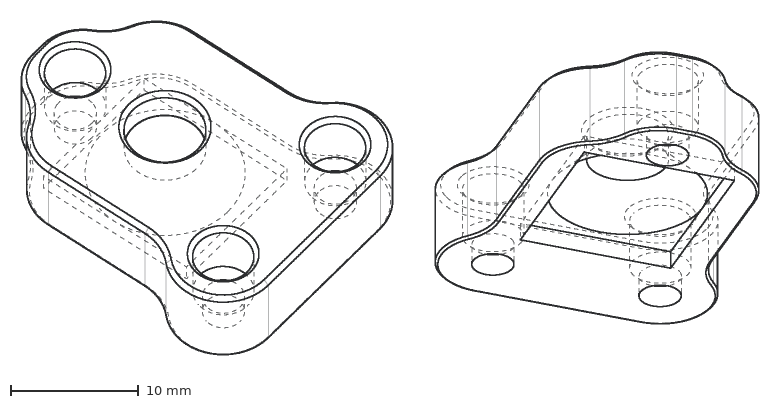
import cadquery as cq
import math

length = 28.75
width = 22.97
thickness = 7.25
body_half_width = 9.0
top_chamfer = 0.4
bottom_chamfer = 0.2

lobe_radius = 4.5
nose_radius = 4.0
nose_flat_half = 0.65
lobe_x = length - lobe_radius
lobe_y = width / 2 - lobe_radius
shoulder_x = 8.28
shoulder_y = body_half_width - lobe_radius

screw_x = 3.75
bore_diameter = 4.8
screw_diameter = 3.3
cone_top_z = 2.6
cone_height = (bore_diameter - screw_diameter) / 2

center_x = 12.76
center_diameter = 6.4
pocket_half_width = 6.27
pocket_half_length = 7.2
pocket_depth = 1.5
flare_top_z = 4.6


def blend_center(first, first_reach, second, second_reach):
    """Point at the given distances from two centers, left of the way from first to second."""
    dx = second[0] - first[0]
    dy = second[1] - first[1]
    gap = math.hypot(dx, dy)
    along = (gap**2 + first_reach**2 - second_reach**2) / (2 * gap)
    across = math.sqrt(first_reach**2 - along**2)
    return (
        first[0] + (along * dx - across * dy) / gap,
        first[1] + (along * dy + across * dx) / gap,
    )


def toward(start, target, distance):
    """Point at a distance from start in the direction of target."""
    angle = math.atan2(target[1] - start[1], target[0] - start[0])
    return (start[0] + distance * math.cos(angle), start[1] + distance * math.sin(angle))


def plate():
    """Mirrored outline of lobes and blends, chamfered along both faces."""
    nose = (nose_radius, nose_flat_half)
    shoulder = (shoulder_x, shoulder_y)
    lobe = (lobe_x, lobe_y)
    nose_blend = blend_center(nose, nose_radius + lobe_radius, shoulder, 2 * lobe_radius)
    lobe_blend_y = body_half_width + lobe_radius
    lobe_blend_x = lobe_x - math.sqrt((2 * lobe_radius) ** 2 - (lobe_blend_y - lobe_y) ** 2)
    lobe_blend = (lobe_blend_x, lobe_blend_y)

    nose_end = toward(nose, nose_blend, nose_radius)
    shoulder_start = toward(shoulder, nose_blend, lobe_radius)
    lobe_start = toward(lobe, lobe_blend, lobe_radius)
    half = (
        cq.Workplane("XY")
        .lineTo(0, nose_flat_half)
        .radiusArc(nose_end, nose_radius)
        .radiusArc(shoulder_start, -lobe_radius)
        .radiusArc((shoulder_x, body_half_width), lobe_radius)
        .lineTo(lobe_blend_x, body_half_width)
        .radiusArc(lobe_start, -lobe_radius)
        .radiusArc((length, lobe_y), lobe_radius)
        .lineTo(length, 0)
    )
    body = half.mirrorX().extrude(thickness)
    body = body.faces(">Z").chamfer(top_chamfer)
    return body.faces("<Z").chamfer(bottom_chamfer)


def revolved_cutter(x, y, profile):
    """Solid of revolution about a vertical axis from (radius, height) points."""
    return (
        cq.Workplane("XZ")
        .polyline(profile)
        .close()
        .revolve(360, (0, 0, 0), (0, 1, 0))
        .translate((x, y, 0))
    )


def screw_hole(x, y):
    """Wide bore from the top that narrows through a cone to a through hole."""
    bore = bore_diameter / 2
    shank = screw_diameter / 2
    return revolved_cutter(x, y, [
        (0, 0),
        (shank, 0),
        (shank, cone_top_z - cone_height),
        (bore, cone_top_z),
        (bore, thickness - top_chamfer),
        (bore + top_chamfer, thickness),
        (0, thickness),
    ])


def center_hole():
    """Through bore with a chamfered top rim and a conical flare down to the pocket."""
    bore = center_diameter / 2
    return revolved_cutter(center_x, 0, [
        (0, 0),
        (pocket_half_width, 0),
        (pocket_half_width, pocket_depth),
        (bore, flare_top_z),
        (bore, thickness - top_chamfer),
        (bore + top_chamfer, thickness),
        (0, thickness),
    ])


def bottom_pocket():
    """Rectangular recess in the bottom face, as wide as the end of the flare."""
    return (
        cq.Workplane("XY")
        .center(center_x, 0)
        .rect(2 * pocket_half_length, 2 * pocket_half_width)
        .extrude(pocket_depth)
    )


result = plate().cut(center_hole()).cut(bottom_pocket())
for x, y in [(screw_x, 0), (lobe_x, lobe_y), (lobe_x, -lobe_y)]:
    result = result.cut(screw_hole(x, y))